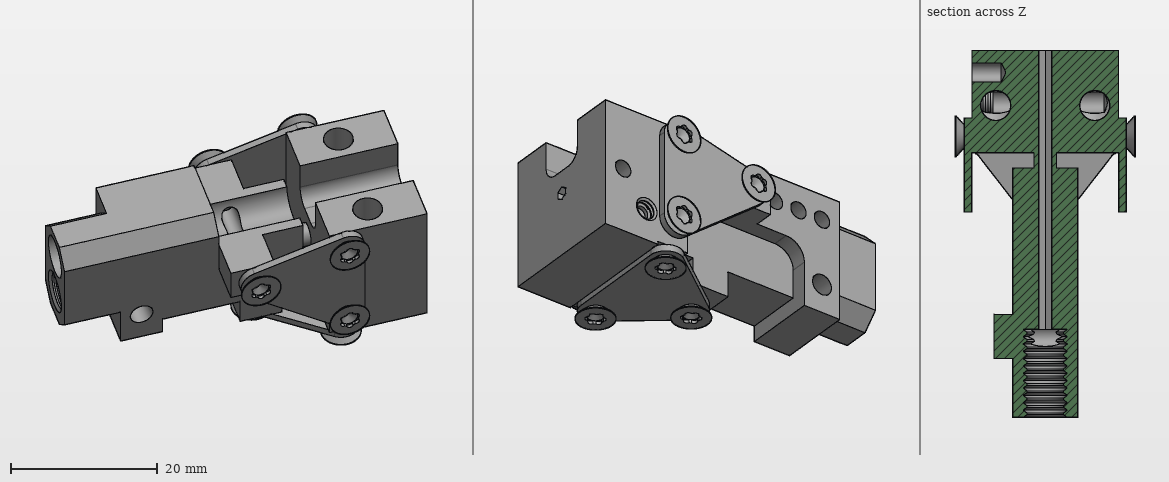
import cadquery as cq


LENGTH = 50.0
HALF_WIDTH = 10.0
HALF_BODY = 4.45
TOP = 21.0
PLATE_THICKNESS = 1.05
PLATE_RADIUS = 2.5
UNDERSIDE = 0.5

BORE_Z = 17.0
BORE_DIAMETER = 6.0
TAP_Z = 10.0
TAP_MAJOR = 6.0
TAP_MINOR = 5.0
TAP_DEPTH = 12.0
TAP_PITCH = 1.0
HEX_ACROSS_CORNERS = 2.0
ROD_DIAMETER = 3.2

REAR_FRONT = 36.05
REAR_TOP = 20.0
SEAT_BACK = 41.1
CHANNEL_HALF = 3.55
CHANNEL_RADIUS = 2.1
CHANNEL_FLOOR = 13.6
WELL_DIAMETER = 4.05
WELL_X = 6.75
WELL_Y = 42.5
WELL_FLOOR = 6.0
PIN_Y = 47.0
PIN_DIAMETER = 2.6
PIN_DEPTH = 4.0
CROSS_Y = 43.0
CROSS_Z = 5.0
CROSS_DIAMETER = 3.2
CROSS_END = 8.0
CROSS_MAJOR = 3.5
CROSS_MINOR = 2.8
CROSS_THREAD_DEPTH = 1.2
CROSS_PITCH = 0.6
PLUG_LENGTH = 1.7
PLUG_RIBS = 3
PLUG_SOCKET_DIAMETER = 2.1
PLUG_SOCKET_DEPTH = 0.6

NOZZLE_LENGTH = 8.0
NOZZLE_BOTTOM = 5.45
NOZZLE_CHAMFER = 2.4
BLOCK_LEFT = -7.0
BLOCK_BACK = 22.0
ARM_BOTTOM = 12.1
LEG_BACK = 14.0
LEG_BOTTOM = 2.0
ARM_RADIUS = 3.1
BODY_BACK = 34.0
BODY_BOTTOM = 4.5
WING_BACK = 28.25
FOOT_FRONT = 25.05
FOOT_BACK = 31.0
LEG_HOLE_Y = 11.0
LEG_HOLE_Z = 6.5
LEG_HOLE_DIAMETER = 3.2
SET_HOLE_DIAMETER = 2.6
SET_HOLE_SPACING = 4.0
SET_HOLE_COUNT = 3

REAR_SCREW_Y = 38.3
SIDE_FRONT_SCREW = (25.65, 14.6)
SIDE_SCREWS = [(REAR_SCREW_Y, 17.7), (REAR_SCREW_Y, 4.7), SIDE_FRONT_SCREW]
BOTTOM_SCREWS = [(-8.0, REAR_SCREW_Y), (8.0, REAR_SCREW_Y), (0.0, 28.0)]
CROSS_SCREW_DIAMETER = 2.45
HEAD_DIAMETER = 5.6
NECK_DIAMETER = 3.2
HEAD_HEIGHT = 1.25
HEAD_RIM = 0.15
SOCKET_CORE_DIAMETER = 2.4
SOCKET_LOBES = 6
SOCKET_TURN = 30.0
SOCKET_LOBE_DIAMETER = 0.9
SOCKET_OUTER_DIAMETER = 2.9
SOCKET_DEPTH = 0.5
DRILL_CONE_RATIO = 0.6
THREAD_LAND_RATIO = 0.25

X_AXIS = cq.Vector(1, 0, 0)
Y_AXIS = cq.Vector(0, 1, 0)
Z_AXIS = cq.Vector(0, 0, 1)


def box(x0, x1, y0, y1, z0, z1):
    """Box between two corners."""
    return cq.Workplane("XY").box(x1 - x0, y1 - y0, z1 - z0, centered=False).translate((x0, y0, z0))


def rod(diameter, start, length, axis):
    """Round bar from a start point along an axis."""
    return cq.Workplane(cq.Solid.makeCylinder(diameter / 2, length, cq.Vector(*start), axis))


def drill_tip(diameter, start, axis):
    """Pointed end of a drilled hole."""
    radius = diameter / 2
    return cq.Workplane(cq.Solid.makeCone(radius, 0, DRILL_CONE_RATIO * radius, cq.Vector(*start), axis))


def tapped_hole(minor, major, pitch, depth, start, axis):
    """Cutter with V-shaped ring grooves standing for the thread."""
    cutter = rod(minor, start, depth, axis)
    origin = cq.Vector(*start)
    land = THREAD_LAND_RATIO * pitch
    flank = (pitch - land) / 2
    for i in range(int(depth / pitch)):
        crest = origin + axis * (i * pitch)
        root = crest + axis * (flank + land)
        opening = cq.Solid.makeCone(major / 2, minor / 2, flank, crest, axis)
        closing = cq.Solid.makeCone(minor / 2, major / 2, flank, root, axis)
        cutter = cutter.union(cq.Workplane(opening)).union(cq.Workplane(closing))
    return cutter


def triangle_plate(plane, centres):
    """Triangular plate with a rounded corner about each screw centre."""
    outline = cq.Workplane(plane).polyline(centres).close().offset2D(PLATE_RADIUS)
    return outline.extrude(PLATE_THICKNESS)


def screw_head(origin, x_dir, normal):
    """Countersunk head standing on a plate, with a six-lobe socket in its outer face."""
    seat = cq.Plane(origin=origin, xDir=x_dir, normal=normal)
    cone_height = HEAD_HEIGHT - HEAD_RIM
    cone = cq.Solid.makeCone(NECK_DIAMETER / 2, HEAD_DIAMETER / 2, cone_height, seat.origin, seat.zDir)
    rim = cq.Workplane(seat).workplane(offset=cone_height).circle(HEAD_DIAMETER / 2).extrude(HEAD_RIM)
    head = rim.union(cq.Workplane(cone))
    lobe_circle = (SOCKET_OUTER_DIAMETER - SOCKET_LOBE_DIAMETER) / 2
    face = cq.Workplane(seat).workplane(offset=HEAD_HEIGHT)
    socket = face.circle(SOCKET_CORE_DIAMETER / 2).extrude(-SOCKET_DEPTH)
    lobes = face.polarArray(lobe_circle, SOCKET_TURN, 360, SOCKET_LOBES)
    lobes = lobes.circle(SOCKET_LOBE_DIAMETER / 2).extrude(-SOCKET_DEPTH)
    tip_start = seat.origin + seat.zDir * (HEAD_HEIGHT - SOCKET_DEPTH)
    tip = drill_tip(SOCKET_CORE_DIAMETER, tip_start.toTuple(), seat.zDir * -1)
    return head.cut(socket.union(lobes).union(tip))


def cross_hole_plug(outer_x):
    """Ribbed plug with a pointed round socket in its outer end."""
    plug = rod(CROSS_MINOR, (outer_x, CROSS_Y, CROSS_Z), PLUG_LENGTH, X_AXIS)
    rib_width = PLUG_LENGTH / (2 * PLUG_RIBS - 1)
    for i in range(PLUG_RIBS):
        rib_x = outer_x + 2 * i * rib_width
        plug = plug.union(rod(CROSS_DIAMETER, (rib_x, CROSS_Y, CROSS_Z), rib_width, X_AXIS))
    plug = plug.cut(rod(PLUG_SOCKET_DIAMETER, (outer_x, CROSS_Y, CROSS_Z), PLUG_SOCKET_DEPTH, X_AXIS))
    socket_end = (outer_x + PLUG_SOCKET_DEPTH, CROSS_Y, CROSS_Z)
    return plug.cut(drill_tip(PLUG_SOCKET_DIAMETER, socket_end, X_AXIS))


def rear_block():
    block = box(-HALF_WIDTH, HALF_WIDTH, REAR_FRONT, LENGTH, 0, REAR_TOP)
    block = block.cut(box(-HALF_WIDTH, HALF_WIDTH, REAR_FRONT, SEAT_BACK, 0, UNDERSIDE))
    channel = box(-CHANNEL_HALF, CHANNEL_HALF, REAR_FRONT, LENGTH, CHANNEL_FLOOR, TOP)
    block = block.cut(channel.edges("|Y and <Z").fillet(CHANNEL_RADIUS))
    for x in (-WELL_X, WELL_X):
        block = block.cut(rod(WELL_DIAMETER, (x, WELL_Y, WELL_FLOOR), TOP, Z_AXIS))
        block = block.cut(drill_tip(WELL_DIAMETER, (x, WELL_Y, WELL_FLOOR), Z_AXIS * -1))
    block = block.cut(rod(PIN_DIAMETER, (-HALF_WIDTH, PIN_Y, TAP_Z), PIN_DEPTH, X_AXIS))
    block = block.cut(drill_tip(PIN_DIAMETER, (PIN_DEPTH - HALF_WIDTH, PIN_Y, TAP_Z), X_AXIS))
    entry = (-HALF_WIDTH, CROSS_Y, CROSS_Z)
    block = block.cut(tapped_hole(CROSS_MINOR, CROSS_MAJOR, CROSS_PITCH, CROSS_THREAD_DEPTH, entry, X_AXIS))
    plug_x = CROSS_THREAD_DEPTH - HALF_WIDTH
    block = block.cut(rod(CROSS_DIAMETER, (plug_x, CROSS_Y, CROSS_Z), CROSS_END - plug_x, X_AXIS))
    block = block.cut(drill_tip(CROSS_DIAMETER, (CROSS_END, CROSS_Y, CROSS_Z), X_AXIS))
    return block.union(cross_hole_plug(plug_x))


def front_body():
    nozzle = box(-HALF_BODY, HALF_BODY, 0, NOZZLE_LENGTH, NOZZLE_BOTTOM, TOP)
    nozzle = nozzle.edges("|Y").chamfer(NOZZLE_CHAMFER)
    block = box(BLOCK_LEFT, HALF_BODY, NOZZLE_LENGTH, BLOCK_BACK, LEG_BOTTOM, TOP)
    under_arm = box(BLOCK_LEFT, HALF_BODY, LEG_BACK, BLOCK_BACK + ARM_RADIUS, LEG_BOTTOM, ARM_BOTTOM)
    block = block.cut(under_arm.edges("|X and >Z and <Y").fillet(ARM_RADIUS))
    block = block.edges("|Y and >X and >Z").chamfer(NOZZLE_CHAMFER)
    body = box(-HALF_BODY, HALF_BODY, LEG_BACK, BODY_BACK, BODY_BOTTOM, ARM_BOTTOM)
    body = body.union(box(-HALF_BODY, HALF_BODY, BLOCK_BACK, BODY_BACK, BODY_BOTTOM, BORE_Z))
    body = body.union(box(-HALF_WIDTH, HALF_WIDTH, BLOCK_BACK, WING_BACK, ARM_BOTTOM, BORE_Z))
    body = body.union(box(-HALF_BODY, HALF_BODY, FOOT_FRONT, FOOT_BACK, UNDERSIDE, BODY_BOTTOM))
    solid = nozzle.union(block).union(body)
    solid = solid.cut(rod(BORE_DIAMETER, (0, 0, BORE_Z), BODY_BACK, Y_AXIS))
    solid = solid.cut(tapped_hole(TAP_MINOR, TAP_MAJOR, TAP_PITCH, TAP_DEPTH, (0, 0, TAP_Z), Y_AXIS))
    leg_hole_start = (BLOCK_LEFT, LEG_HOLE_Y, LEG_HOLE_Z)
    solid = solid.cut(rod(LEG_HOLE_DIAMETER, leg_hole_start, HALF_BODY - BLOCK_LEFT, X_AXIS))
    for i in range(SET_HOLE_COUNT):
        start = (BLOCK_LEFT, LEG_HOLE_Y + i * SET_HOLE_SPACING, BORE_Z)
        solid = solid.cut(rod(SET_HOLE_DIAMETER, start, -BLOCK_LEFT, X_AXIS))
    cross_start = (-HALF_BODY, *SIDE_FRONT_SCREW)
    return solid.cut(rod(CROSS_SCREW_DIAMETER, cross_start, 2 * HALF_BODY, X_AXIS))


result = rear_block().union(front_body())
result = result.union(rod(ROD_DIAMETER, (0, BODY_BACK, TAP_Z), REAR_FRONT - BODY_BACK, Y_AXIS))
hexagon = cq.Workplane(cq.Plane(origin=(0, 0, TAP_Z), xDir=(0, 0, 1), normal=(0, 1, 0)))
result = result.cut(hexagon.polygon(6, HEX_ACROSS_CORNERS).extrude(LENGTH))

for side in (-1, 1):
    inner_x = side * HALF_WIDTH
    outer_x = side * (HALF_WIDTH + PLATE_THICKNESS)
    plate = triangle_plate("YZ", SIDE_SCREWS).translate((min(inner_x, outer_x), 0, 0))
    result = result.union(plate)
    for y, z in SIDE_SCREWS:
        result = result.union(screw_head((outer_x, y, z), (0, 1, 0), (side, 0, 0)))

plate_bottom = UNDERSIDE - PLATE_THICKNESS
result = result.union(triangle_plate("XY", BOTTOM_SCREWS).translate((0, 0, plate_bottom)))
for x, y in BOTTOM_SCREWS:
    result = result.union(screw_head((x, y, plate_bottom), (0, 1, 0), (0, 0, -1)))